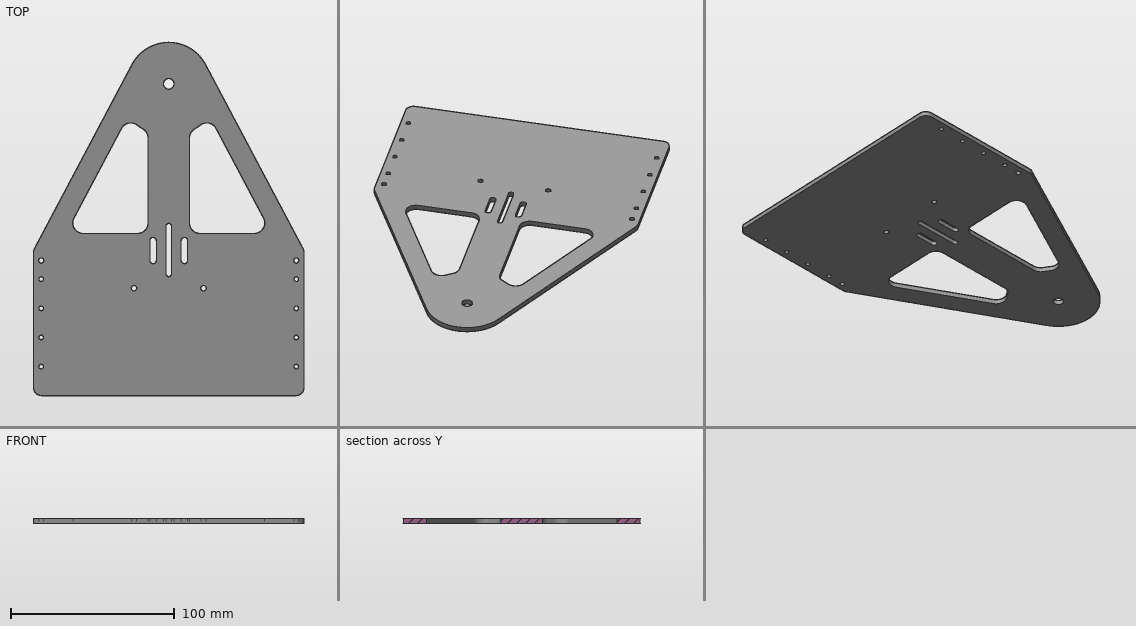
import cadquery as cq
import math

plate_width = 165.1
plate_length = 215.66
plate_thickness = 3.17
half_width = plate_width / 2

nose_radius = 25.4
nose_center_y = plate_length - nose_radius
nose_hole_diameter = 6.35

shoulder_y = 88.7
shoulder_radius = 5.0
rear_corner_radius = 5.0

web_half_width = 12.7
rim_width = 12.7
window_rear_y = 99.06
window_nose_clearance = 6.35
window_corner_radius = 6.35

center_slot_length = 32.4
center_slot_width = 3.175
center_slot_y = 88.9
side_slot_length = 15.875
side_slot_width = 3.81
side_slot_x = 9.525
side_slot_y = 88.6

edge_hole_x = 77.8
edge_hole_diameter = 2.7
edge_hole_count = 4
edge_hole_pitch = 17.78
first_edge_hole_y = 17.78
shoulder_hole_y = 82.5
shoulder_hole_diameter = 3.05
middle_hole_x = 21.2
middle_hole_y = 65.6
middle_hole_diameter = 3.2

shoulder_drop = nose_center_y - shoulder_y
shoulder_distance = math.hypot(half_width, shoulder_drop)
slope_angle = math.acos(nose_radius / shoulder_distance) - math.atan2(shoulder_drop, half_width)


def sloping_side_x(y, inset):
    """X of a line parallel to the right sloping side, moved inward by inset."""
    offset = nose_radius - inset
    return (offset - (y - nose_center_y) * math.sin(slope_angle)) / math.cos(slope_angle)


def make_plate():
    tangent_x = nose_radius * math.cos(slope_angle)
    tangent_y = nose_center_y + nose_radius * math.sin(slope_angle)
    plate = (
        cq.Workplane("XY")
        .moveTo(-half_width, 0)
        .lineTo(half_width, 0)
        .lineTo(half_width, shoulder_y)
        .lineTo(tangent_x, tangent_y)
        .threePointArc((0, plate_length), (-tangent_x, tangent_y))
        .lineTo(-half_width, shoulder_y)
        .close()
        .extrude(plate_thickness)
    )
    corners = ((rear_corner_radius, 0), (shoulder_radius, shoulder_y))
    for radius, corner_y in corners:
        for corner_x in (-half_width, half_width):
            corner = cq.NearestToPointSelector((corner_x, corner_y, plate_thickness / 2))
            plate = plate.edges("|Z").edges(corner).fillet(radius)
    return plate


def make_window():
    """Right-hand window: a wedge cut back by a circle around the nose hole."""
    tip_y = nose_center_y
    window = (
        cq.Workplane("XY")
        .moveTo(web_half_width, window_rear_y)
        .lineTo(sloping_side_x(window_rear_y, rim_width), window_rear_y)
        .lineTo(sloping_side_x(tip_y, rim_width), tip_y)
        .lineTo(web_half_width, tip_y)
        .close()
        .extrude(plate_thickness)
    )
    nose_land = (
        cq.Workplane("XY")
        .center(0, nose_center_y)
        .circle(nose_radius + window_nose_clearance)
        .extrude(plate_thickness)
    )
    return window.cut(nose_land).edges("|Z").fillet(window_corner_radius)


def make_slot(x, y, length, width):
    return cq.Workplane("XY").center(x, y).slot2D(length, width, 90).extrude(plate_thickness)


def make_hole(x, y, diameter):
    return cq.Workplane("XY").center(x, y).circle(diameter / 2).extrude(plate_thickness)


result = make_plate()

window = make_window()
result = result.cut(window).cut(window.mirror("YZ"))

result = result.cut(make_hole(0, nose_center_y, nose_hole_diameter))
result = result.cut(make_slot(0, center_slot_y, center_slot_length, center_slot_width))

for side in (-1, 1):
    result = result.cut(make_slot(side * side_slot_x, side_slot_y, side_slot_length, side_slot_width))
    result = result.cut(make_hole(side * middle_hole_x, middle_hole_y, middle_hole_diameter))
    result = result.cut(make_hole(side * edge_hole_x, shoulder_hole_y, shoulder_hole_diameter))
    for index in range(edge_hole_count):
        hole_y = first_edge_hole_y + index * edge_hole_pitch
        result = result.cut(make_hole(side * edge_hole_x, hole_y, edge_hole_diameter))